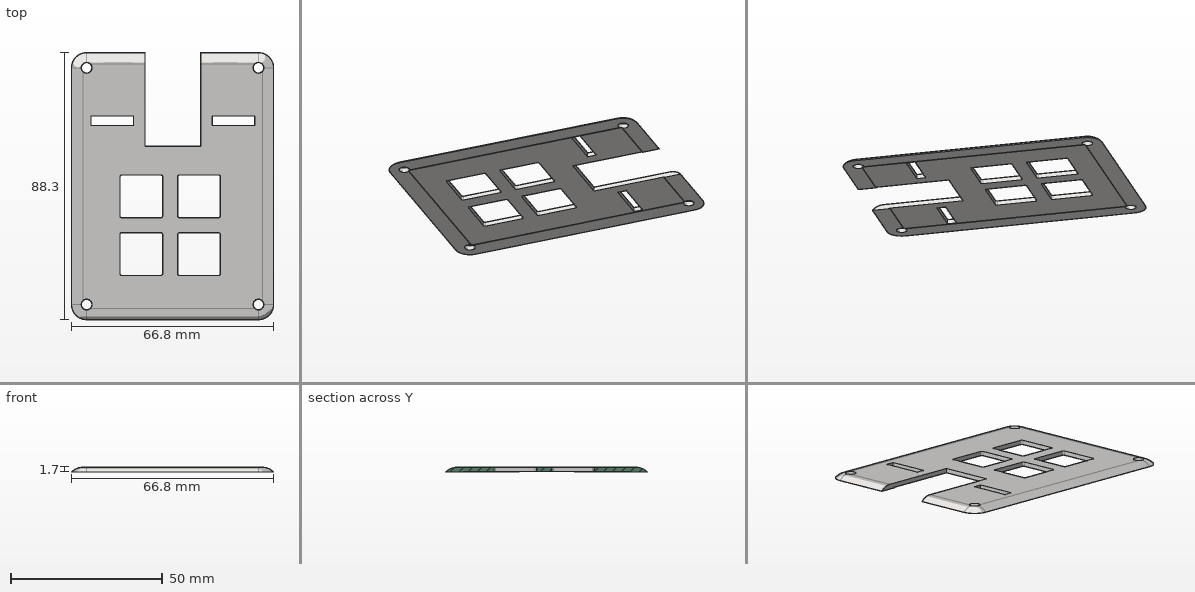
import cadquery as cq
import math

width = 66.8
length = 88.3
thickness = 1.7
corner_radius = 5.0

border_radius = 5.0
border_run = math.sqrt(border_radius**2 - (border_radius - thickness) ** 2)

recess_depth = 0.2
rim_width = 6.0

screw_diameter = 3.4
screw_spacing_x = width - 2 * corner_radius
screw_spacing_y = length - 2 * corner_radius

notch_width = 18.4
notch_x = 0.1
notch_depth = 30.9

slot_length = 13.95
slot_width = 3.0
slot_spacing = 40.1
slot_x = notch_x
slot_y = 21.6

window_side = 14.0
window_corner_radius = 0.5
window_pitch = 19.1
window_group_x = -0.8
window_group_y = -12.9


def make_plate():
    """Fillet an oversized block, then keep only its top slice so the rim is sharp."""
    overhang = border_radius - border_run
    block_height = 2 * border_radius
    block = (
        cq.Workplane("XY")
        .workplane(offset=thickness - block_height)
        .rect(width + 2 * overhang, length + 2 * overhang)
        .extrude(block_height)
        .edges("|Z")
        .fillet(corner_radius + overhang)
        .faces(">Z")
        .edges()
        .fillet(border_radius)
    )
    slice_box = cq.Workplane("XY").box(
        2 * width, 2 * length, thickness, centered=(True, True, False)
    )
    return block.intersect(slice_box)


def cutter(outlines):
    """Turn closed outlines on the base plane into through-cutting solids."""
    return outlines.extrude(thickness)


base = cq.Workplane("XY")
recess = base.rect(width - 2 * rim_width, length - 2 * rim_width).extrude(recess_depth)
screw_holes = cutter(
    base.rect(screw_spacing_x, screw_spacing_y, forConstruction=True)
    .vertices()
    .circle(screw_diameter / 2)
)
notch = cutter(base.center(notch_x, length / 2 - notch_depth / 2).rect(notch_width, notch_depth))
slots = cutter(
    base.center(slot_x, slot_y)
    .pushPoints([(-slot_spacing / 2, 0), (slot_spacing / 2, 0)])
    .rect(slot_length, slot_width)
)
windows = (
    cutter(
        base.center(window_group_x, window_group_y)
        .rarray(window_pitch, window_pitch, 2, 2)
        .rect(window_side, window_side)
    )
    .edges("|Z")
    .fillet(window_corner_radius)
)

result = make_plate().cut(recess).cut(screw_holes).cut(notch).cut(slots).cut(windows)